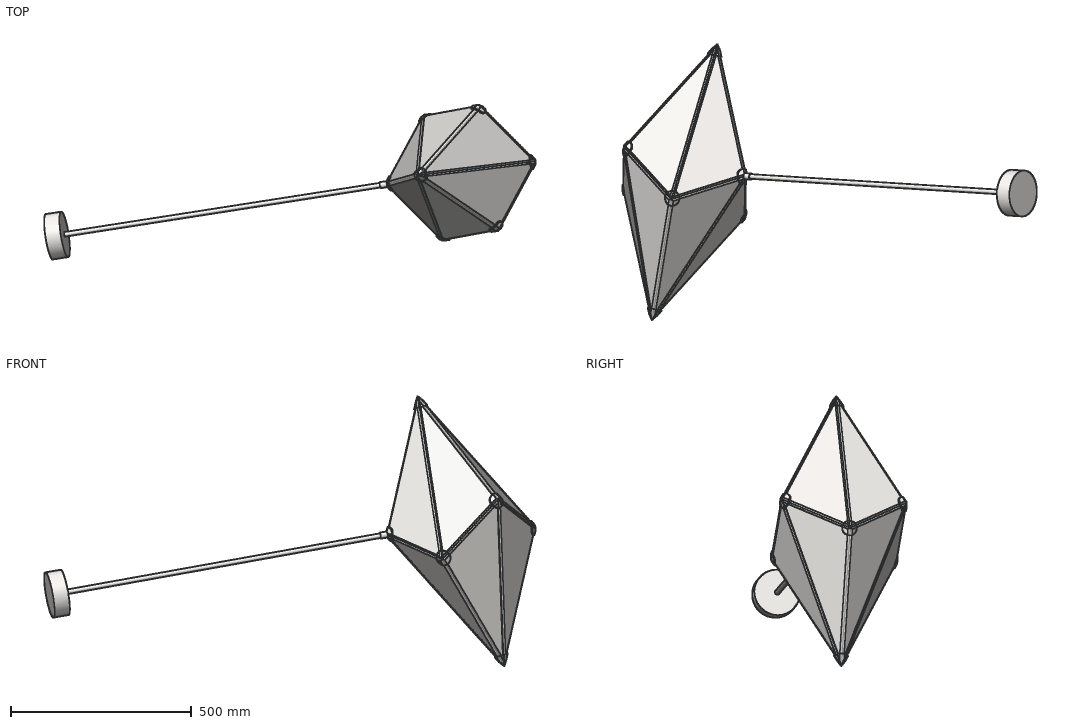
import cadquery as cq
import math

shade_center = cq.Vector(473.0, 26.0, 0)
pole_offset = cq.Vector(-118.0, -7.0, 367.0)
arm_corner_offset = cq.Vector(-15.1, -2.3, -0.5)
ring_sides = 6
ring_radius = 198.0
ring_step = 55.0
panel_thickness = 4.3

cap_scale = 1.017
cap_radius = 20.0
cap_depth = 31.0

plate_center = cq.Vector(-664.0, -151.0, -177.0)
plate_diameter = 128.0
plate_thickness = 43.0
arm_diameter = 14.0
collar_diameter = 18.0
collar_length = 20.0

axis = pole_offset.normalized()
ring_x = (arm_corner_offset - axis * arm_corner_offset.dot(axis)).normalized()
ring_y = axis.cross(ring_x)


def ring_corner(index):
    """Corner of the ring, counted from the one that takes the arm."""
    angle = 2 * math.pi * index / ring_sides
    step = ring_step if index % 2 == 0 else -ring_step
    radial = ring_x * math.cos(angle) + ring_y * math.sin(angle)
    return shade_center + radial * ring_radius + axis * step


ring = [ring_corner(index) for index in range(ring_sides)]
poles = [shade_center + pole_offset, shade_center - pole_offset]


def polygon_face(*corners):
    return cq.Face.makeFromWires(cq.Wire.makePolygon(corners, close=True))


def panel_top(corners):
    """Corners of a panel's outer face: raised by the thickness and set in by the same amount."""
    a, b, c = corners
    sides = [(b - c).Length, (c - a).Length, (a - b).Length]
    normal = (b - a).cross(c - a)
    inradius = normal.Length / sum(sides)
    incenter = (a * sides[0] + b * sides[1] + c * sides[2]) / sum(sides)
    outward = normal.normalized()
    if outward.dot(incenter - shade_center) < 0:
        outward = outward * -1
    shrink = panel_thickness / inradius
    return [p + (incenter - p) * shrink + outward * panel_thickness for p in corners]


def panel_faces(corners):
    """Outer face and the three bevels that run down from it to the panel's edges."""
    top = panel_top(corners)
    faces = [polygon_face(*top)]
    for index in range(3):
        faces.append(polygon_face(corners[index - 1], corners[index], top[index], top[index - 1]))
    return faces


def shade():
    """Solid bounded by twelve panels; their bevels meet in a V groove along each edge."""
    faces = []
    for index in range(ring_sides):
        for pole in poles:
            faces += panel_faces([pole, ring[index - 1], ring[index]])
    return cq.Solid.makeSolid(cq.Shell.makeShell(faces)).fix()


def caps(body):
    """Raised tip over each corner of the shade."""
    enlarged = body.translate(shade_center * -1).scale(cap_scale)
    enlarged = enlarged.translate(shade_center)
    tips = []
    for corner in ring + poles:
        reach = (corner - shade_center) * cap_scale
        base = shade_center + reach - reach.normalized() * cap_depth
        bar = cq.Solid.makeCylinder(cap_radius, 2 * cap_depth, base, reach)
        tips.append(enlarged.intersect(bar))
    return tips


def arm_and_plate():
    """Round wall plate, the arm from its middle to the shade, and the collar at the arm end."""
    along = ring[0] - plate_center
    direction = along.normalized()
    plate = cq.Solid.makeCylinder(plate_diameter / 2, plate_thickness, plate_center, direction)
    arm_start = plate_center + direction * plate_thickness / 2
    arm_length = along.Length - plate_thickness / 2
    arm = cq.Solid.makeCylinder(arm_diameter / 2, arm_length, arm_start, direction)
    collar_start = ring[0] - direction * collar_length
    collar = cq.Solid.makeCylinder(collar_diameter / 2, collar_length, collar_start, direction)
    return plate, arm, collar


shade_body = shade()
result = cq.Workplane(shade_body.fuse(*caps(shade_body), *arm_and_plate()))